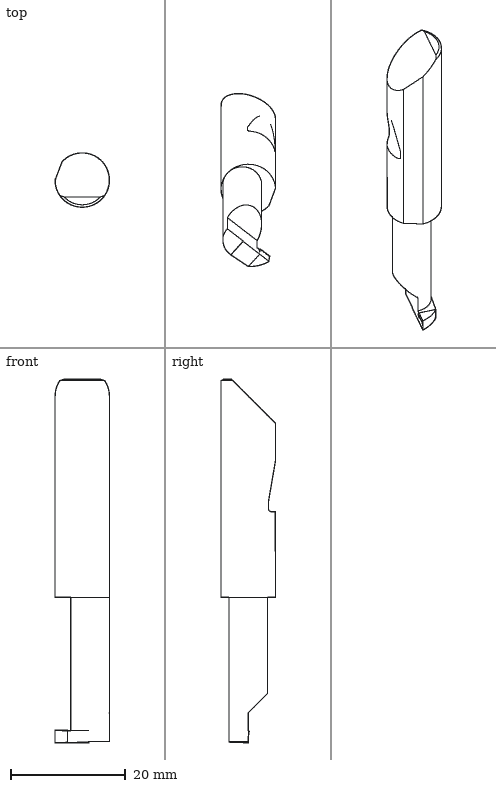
import cadquery as cq
import math

total_length = 63.5
shank_radius = 4.75
neck_length = 25.4

flat_end_y = 3.2
bevel_start_y = -2.9
top_chamfer_height = 0.25
top_chamfer_width = 0.45
notch_bottom_z = 40.4
notch_deep_z = 42.15
notch_top_z = 49.2
notch_depth = 1.2
notch_corner_radius = 0.5

neck_radius = 3.395
neck_x = shank_radius - neck_radius
neck_bottom_z = 0.22
flat_top_z = 5.3

head_top_z = 2.15
edge_top_z = 2.2
strip_end_x = -2.6
flank_end_x = -2.8
flank_end_y = -3.0
heel_y = -3.1
head_end_x = 1.15
flank_bulge = 0.25
head_relief = 0.1
lip_height = 0.2
lip_bottom_z = 0.95


def side_prism(points):
    """Prism with a (y, z) outline, spanning the whole part along X."""
    return cq.Workplane("YZ").polyline(points).close().extrude(shank_radius, both=True)


def make_shank():
    shank = (
        cq.Workplane("XY", origin=(0, 0, neck_length))
        .circle(shank_radius)
        .extrude(total_length - neck_length)
        .faces(">Z")
        .chamfer(top_chamfer_height, top_chamfer_width)
    )
    bevel_drop = shank_radius - bevel_start_y
    bevel = side_prism([
        (bevel_start_y, total_length),
        (shank_radius, total_length - bevel_drop),
        (shank_radius, total_length),
    ])
    return shank.cut(bevel).cut(make_side_flat()).cut(make_notch())


def make_side_flat():
    """Segment between the shank circle and the chord of the side flat."""
    flat_end_x = -math.sqrt(shank_radius**2 - flat_end_y**2)
    half_angle = math.asin(flat_end_y / shank_radius) / 2
    arc_middle = (-shank_radius * math.cos(half_angle), shank_radius * math.sin(half_angle))
    return (
        cq.Workplane("XY", origin=(0, 0, neck_length))
        .moveTo(-shank_radius, 0)
        .threePointArc(arc_middle, (flat_end_x, flat_end_y))
        .close()
        .extrude(total_length - neck_length)
    )


def make_notch():
    floor_y = shank_radius - notch_depth
    notch = side_prism([
        (shank_radius, notch_bottom_z),
        (floor_y, notch_bottom_z),
        (floor_y, notch_deep_z),
        (shank_radius, notch_top_z),
    ])
    return notch.edges("|X and <Y and <Z").fillet(notch_corner_radius)


def make_neck():
    neck = (
        cq.Workplane("XY", origin=(neck_x, 0, neck_bottom_z))
        .circle(neck_radius)
        .extrude(neck_length - neck_bottom_z)
    )
    half_round_cut = side_prism([
        (0, neck_bottom_z),
        (0, flat_top_z),
        (neck_radius, flat_top_z + neck_radius),
        (neck_radius, neck_bottom_z),
    ])
    return neck.cut(half_round_cut)


def make_head():
    """Hooked cutting head: a relieved cutting strip joined to a flat-topped body."""
    head_end_y = -math.sqrt(neck_radius**2 - (head_end_x - neck_x)**2)
    flank_dx = flank_end_x + shank_radius
    flank_length = math.hypot(flank_dx, flank_end_y)
    flank_middle = (
        (flank_end_x - shank_radius) / 2 + flank_bulge * flank_end_y / flank_length,
        flank_end_y / 2 - flank_bulge * flank_dx / flank_length,
    )
    strip_plan = (
        cq.Workplane("XY")
        .moveTo(-shank_radius, lip_height)
        .lineTo(-shank_radius, 0)
        .threePointArc(flank_middle, (flank_end_x, flank_end_y))
        .lineTo(strip_end_x, heel_y)
        .lineTo(strip_end_x, lip_height)
        .close()
        .extrude(edge_top_z)
    )
    strip_side = side_prism([
        (0, 0),
        (0, lip_bottom_z),
        (lip_height, head_top_z - head_relief),
        (0, edge_top_z),
        (heel_y, edge_top_z - head_relief),
        (heel_y, head_relief),
    ])
    body_plan = (
        cq.Workplane("XY")
        .polyline([(strip_end_x, 0), (strip_end_x, heel_y), (head_end_x, head_end_y), (head_end_x, 0)])
        .close()
        .extrude(head_top_z)
    )
    body_side = side_prism([
        (0, 0),
        (0, head_top_z),
        (head_end_y, head_top_z),
        (head_end_y, head_relief),
    ])
    return strip_plan.intersect(strip_side).union(body_plan.intersect(body_side))


result = make_shank().union(make_neck()).union(make_head())